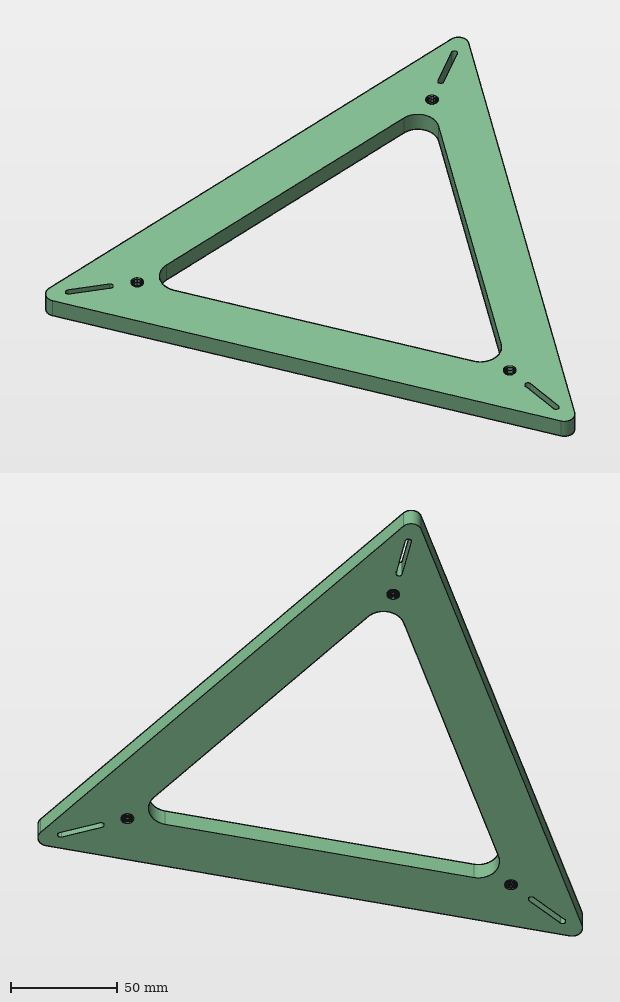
import cadquery as cq
import math

width = 262.0
thickness = 10.0
corner_radius = 5.0
rail_width = 25.0
window_radius = 10.0

hole_distance = 106.6
thread_minor_diameter = 5.0
thread_major_diameter = 6.0
thread_count = 10
slot_inner_end = 118.2
slot_outer_end = 141.0
slot_width = 3.0

arc_centre_spacing = width - 2 * corner_radius
outer_inradius = arc_centre_spacing / (2 * math.sqrt(3)) + corner_radius
window_inradius = outer_inradius - rail_width

corner_angles = (90, 210, 330)


def rounded_triangle(inradius, radius):
    """Equilateral prism with one corner on +Y and rounded upright edges."""
    corners = [
        (
            2 * inradius * math.cos(math.radians(angle)),
            2 * inradius * math.sin(math.radians(angle)),
        )
        for angle in corner_angles
    ]
    prism = cq.Workplane("XY").polyline(corners).close().extrude(thickness)
    return prism.edges("|Z").fillet(radius)


def threaded_hole_cutter():
    """Through hole on the Z axis, its thread simplified to stacked V grooves."""
    minor_radius = thread_minor_diameter / 2
    major_radius = thread_major_diameter / 2
    pitch = thickness / thread_count
    profile = cq.Workplane("XZ").lineTo(major_radius, 0)
    for turn in range(thread_count):
        profile = profile.lineTo(minor_radius, (turn + 0.5) * pitch)
        profile = profile.lineTo(major_radius, (turn + 1) * pitch)
    return profile.lineTo(0, thickness).close().revolve(360, (0, 0, 0), (0, 1, 0))


def corner_cutter():
    """Round-ended radial slot and threaded through hole for the +X direction."""
    slot_length = slot_outer_end - slot_inner_end
    slot_middle = (slot_outer_end + slot_inner_end) / 2
    slot = (
        cq.Workplane("XY")
        .center(slot_middle, 0)
        .slot2D(slot_length, slot_width)
        .extrude(thickness)
    )
    return slot.union(threaded_hole_cutter().translate((hole_distance, 0, 0)))


result = rounded_triangle(outer_inradius, corner_radius)
result = result.cut(rounded_triangle(window_inradius, window_radius))

cutter = corner_cutter()
for angle in corner_angles:
    result = result.cut(cutter.rotate((0, 0, 0), (0, 0, 1), angle))